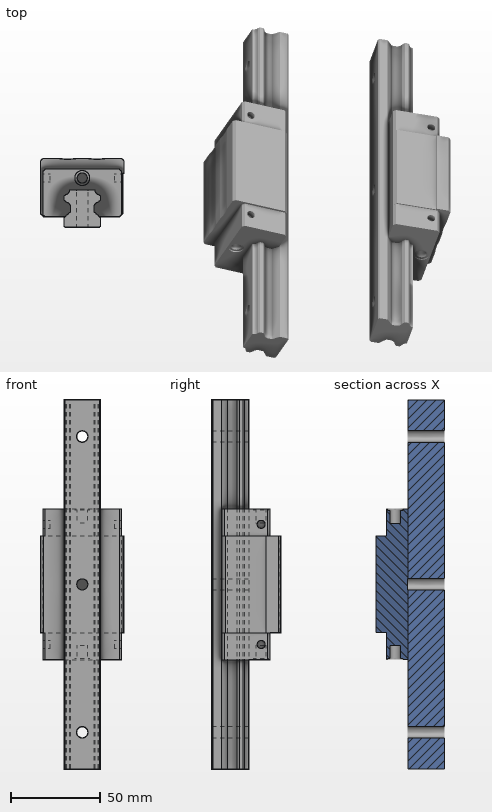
import cadquery as cq


rail_length = 207.32
rail_height = 20.85
rail_half_width = 10.35
rail_head_half_width = 7.1
rail_neck_half_width = 6.45
base_chamfer = 0.8
upper_groove_end = (9.3, rail_height - 2.5)
upper_groove_mid = (7.75, rail_height - 1.6)
land_top = rail_height - 3.4
land_bottom = rail_height - 5.4
lower_groove_start = (8.9, rail_height - 6.7)
lower_groove_mid = (7.2, rail_height - 7.65)
neck_top = rail_height - 9.3
neck_bottom = rail_height - 12.0
flank_bottom = rail_height - 15.4
rail_hole_diameter = 6.22
rail_hole_pitch = 82.93
rail_hole_count = 3

block_top = 38.7
block_bottom = 5.85
block_width = 46.99
block_length = 54.4
block_top_chamfer = 1.4
block_bottom_chamfer = 1.9
relief_depth = 0.7
relief_top = 30.3
pad_groove_inner = 3.2
pad_groove_outer = 13.2
pad_groove_depth = 0.4

carriage_length = 84.6
cap_width = 44.3
cap_top = 32.7
cap_chamfer = 1.4
cap_length = (carriage_length - block_length) / 2
port_height = 27.7
port_diameter = 5.7
port_depth = 8.0
port_rim_diameter = 8.4
port_rim_depth = 0.7
side_hole_diameter = 4.5
side_hole_depth = 4.0
side_hole_from_end = 8.6


def rail_half_outline(sketch):
    """Right flank of the rail, from the centre of the base to the centre of the head."""
    return (
        sketch.moveTo(0, 0)
        .lineTo(rail_half_width - base_chamfer, 0)
        .lineTo(rail_half_width, base_chamfer)
        .lineTo(rail_half_width, flank_bottom)
        .lineTo(rail_neck_half_width, neck_bottom)
        .lineTo(rail_neck_half_width, neck_top)
        .threePointArc(lower_groove_mid, lower_groove_start)
        .lineTo(rail_half_width, land_bottom)
        .lineTo(rail_half_width, land_top)
        .lineTo(*upper_groove_end)
        .threePointArc(upper_groove_mid, (rail_head_half_width, rail_height))
        .lineTo(0, rail_height)
    )


def make_rail_bar():
    """Undrilled rail bar."""
    half = rail_half_outline(cq.Workplane("XY").workplane(offset=-rail_length / 2)).close()
    half = half.extrude(rail_length)
    return half.union(half.mirror("YZ")).clean()


def make_rail():
    """Rail bar with a row of mounting holes through its height."""
    holes = (
        cq.Workplane("XZ")
        .rarray(rail_hole_pitch, rail_hole_pitch, 1, rail_hole_count)
        .circle(rail_hole_diameter / 2)
        .extrude(-rail_height)
    )
    return make_rail_bar().cut(holes)


def make_block():
    """Centre of the carriage: chamfered section with two top grooves and a stepped +X side."""
    half_width = block_width / 2
    relief_x = half_width - relief_depth
    shoulder = block_top - block_top_chamfer
    toe = block_bottom + block_bottom_chamfer
    groove_centre = (pad_groove_inner + pad_groove_outer) / 2
    groove_floor = block_top - pad_groove_depth
    return (
        cq.Workplane("XY")
        .workplane(offset=-block_length / 2)
        .moveTo(-half_width + block_bottom_chamfer, block_bottom)
        .lineTo(relief_x - block_bottom_chamfer, block_bottom)
        .lineTo(relief_x, toe)
        .lineTo(relief_x, relief_top)
        .lineTo(half_width, relief_top)
        .lineTo(half_width, shoulder)
        .lineTo(half_width - block_top_chamfer, block_top)
        .lineTo(pad_groove_outer, block_top)
        .threePointArc((groove_centre, groove_floor), (pad_groove_inner, block_top))
        .lineTo(-pad_groove_inner, block_top)
        .threePointArc((-groove_centre, groove_floor), (-pad_groove_outer, block_top))
        .lineTo(-half_width + block_top_chamfer, block_top)
        .lineTo(-half_width, shoulder)
        .lineTo(-half_width, toe)
        .close()
        .extrude(block_length)
    )


def make_upper_cap():
    """End cap on the +Z end, with a lubrication port and a blind hole in each side."""
    cap_height = cap_top - block_bottom
    outer_end = carriage_length / 2
    cap = (
        cq.Workplane("XY")
        .workplane(offset=block_length / 2)
        .center(0, block_bottom + cap_height / 2)
        .rect(cap_width, cap_height)
        .extrude(cap_length)
        .edges("|Z")
        .chamfer(cap_chamfer)
    )
    port_plane = cq.Workplane("XY").workplane(offset=outer_end).center(0, port_height)
    cap = cap.cut(port_plane.circle(port_diameter / 2).extrude(-port_depth))
    cap = cap.cut(port_plane.circle(port_rim_diameter / 2).extrude(-port_rim_depth))

    side_hole = (
        cq.Workplane("YZ")
        .workplane(offset=-cap_width / 2)
        .center(port_height, outer_end - side_hole_from_end)
        .circle(side_hole_diameter / 2)
        .extrude(side_hole_depth)
    )
    return cap.cut(side_hole).cut(side_hole.mirror("YZ"))


def make_carriage():
    """Block with a cap on each end, fitted closely around the rail."""
    cap = make_upper_cap()
    return make_block().union(cap).union(cap.mirror("XY")).cut(make_rail_bar())


rail = make_rail()
carriage = make_carriage()
result = cq.Compound.makeCompound([rail.solids().val(), carriage.solids().val()])